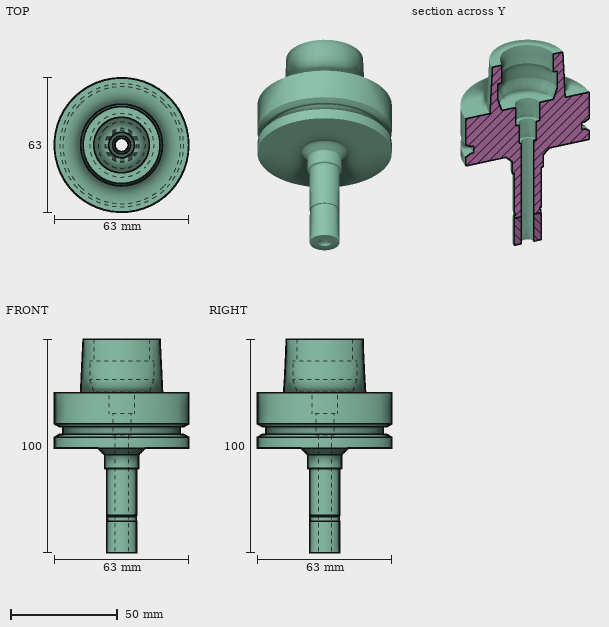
import cadquery as cq

total_height = 100.0
flange_bottom = 49.0
flange_height = 26.0
flange_top = flange_bottom + flange_height

flange_radius = 31.5
groove_radius = 27.5
groove_mouth_radius = 28.9
groove_lower_edge = 54.0
groove_upper_edge = 60.5
groove_side_height = 1.5

taper_base_radius = 19.2
taper_top_radius = 18.0

bore_radius = 13.0
mouth_depth = 10.0
recess_radius = 15.0
recess_depth = 18.7
recess_cone_height = 6.0
bore_floor = total_height - recess_depth - recess_cone_height

socket_radius = 6.0
socket_depth = 10.0
seat_radius = 4.2
seat_depth = 10.0
channel_radius = 3.1

collar_radius = 8.0
collar_bottom = 39.3
collar_chamfer = 0.4
root_cone_height = 3.0
arbor_radius = 7.0
relief_radius = 6.3
relief_bottom = 17.0
relief_top = 17.6
land_radius = 6.9

sleeve_length = 14.7


def revolve_profile(points):
    """Revolve a closed (radius, z) outline around the Z axis."""
    return cq.Workplane("XZ").polyline(points).close().revolve(360, (0, 0, 0), (0, 1, 0))


def cylinder(radius, bottom, top):
    """Make a cylinder on the Z axis between two heights."""
    return cq.Workplane("XY").workplane(offset=bottom).circle(radius).extrude(top - bottom)


def holder_outside():
    """Make the solid outer form of the taper, flange and arbor."""
    return revolve_profile([
        (0, sleeve_length),
        (land_radius, sleeve_length),
        (land_radius, relief_bottom),
        (relief_radius, relief_bottom),
        (relief_radius, relief_top),
        (arbor_radius, relief_top),
        (arbor_radius, collar_bottom),
        (collar_radius - collar_chamfer, collar_bottom),
        (collar_radius, collar_bottom + collar_chamfer),
        (collar_radius, flange_bottom - root_cone_height),
        (collar_radius + root_cone_height, flange_bottom),
        (flange_radius, flange_bottom),
        (flange_radius, groove_lower_edge),
        (groove_mouth_radius, groove_lower_edge + groove_side_height),
        (groove_radius, groove_lower_edge + groove_side_height),
        (groove_radius, groove_upper_edge - groove_side_height),
        (groove_mouth_radius, groove_upper_edge - groove_side_height),
        (flange_radius, groove_upper_edge),
        (flange_radius, flange_top),
        (taper_base_radius, flange_top),
        (taper_top_radius, total_height),
        (0, total_height),
    ])


def clamping_bore():
    """Make the hollow inside the taper."""
    return revolve_profile([
        (0, bore_floor),
        (bore_radius, bore_floor),
        (recess_radius, bore_floor + recess_cone_height),
        (recess_radius, total_height - mouth_depth),
        (bore_radius, total_height - mouth_depth),
        (bore_radius, total_height),
        (0, total_height),
    ])


def make_holder():
    """Make the holder with its bore and stepped axial channel."""
    socket_floor = bore_floor - socket_depth
    seat_floor = socket_floor - seat_depth
    return (
        holder_outside()
        .cut(clamping_bore())
        .cut(cylinder(socket_radius, socket_floor, bore_floor))
        .cut(cylinder(seat_radius, seat_floor, socket_floor))
        .cut(cylinder(channel_radius, sleeve_length, seat_floor))
    )


def make_sleeve():
    """Make the end sleeve, which carries the axial channel through."""
    return cylinder(arbor_radius, 0, sleeve_length).cut(cylinder(channel_radius, 0, sleeve_length))


holder = make_holder()
sleeve = make_sleeve()

result = cq.Compound.makeCompound([holder.val(), sleeve.val()])